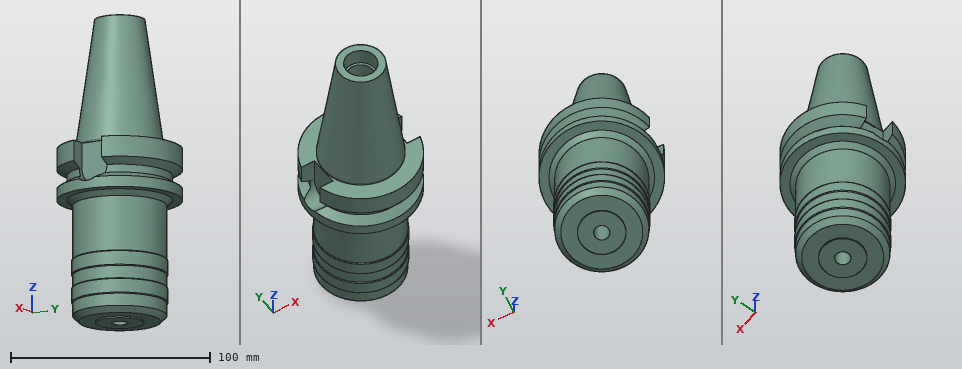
import cadquery as cq

TOTAL_HEIGHT = 155.4

TAPER_RATIO = 7 / 24
GAUGE_RADIUS = 22.2
TAPER_LENGTH = 65.5
GAUGE_Z = TOTAL_HEIGHT - TAPER_LENGTH
TAPER_TOP_RADIUS = GAUGE_RADIUS - TAPER_LENGTH * TAPER_RATIO / 2

FLANGE_DIAMETER = 63.0
FLANGE_RADIUS = FLANGE_DIAMETER / 2
FLANGE_TOP_Z = 89.0
FLANGE_BOTTOM_Z = 63.0
GROOVE_ROOT_RADIUS = 26.4
GROOVE_CENTER_Z = 73.5
GROOVE_ROOT_WIDTH = 4.0
GROOVE_MOUTH_WIDTH = 10.0

BODY_RADIUS = 23.6
NECK_CHAMFER = 2.8
NOSE_CHAMFER_RADIAL = 3.1
NOSE_CHAMFER_HEIGHT = 3.0
NOSE_BOSS_RADIUS = 12.1
NOSE_BOSS_HEIGHT = 0.8

BAND_RADIUS = 24.1
BAND_HEIGHT = 8.0
BAND_BOTTOMS_Z = (10.0, 24.2)
BAND_CHAMFER = BAND_RADIUS - BODY_RADIUS

SLOT_WIDTH = 16.3
SLOT_FLOOR_X = 22.5
SLOT_BOTTOM_Z = 67.1

COUNTERBORE_RADIUS = 8.5
COUNTERBORE_DEPTH = 9.0
THREAD_BORE_RADIUS = 7.1
THREAD_BORE_DEPTH = 31.1
THROUGH_HOLE_RADIUS = 4.0


def make_holder_blank():
    """Revolve the half profile of boss, body, flange and taper."""
    half_root = GROOVE_ROOT_WIDTH / 2
    half_mouth = GROOVE_MOUTH_WIDTH / 2
    profile = [
        (0, 0),
        (NOSE_BOSS_RADIUS, 0),
        (NOSE_BOSS_RADIUS, NOSE_BOSS_HEIGHT),
        (BODY_RADIUS - NOSE_CHAMFER_RADIAL, NOSE_BOSS_HEIGHT),
        (BODY_RADIUS, NOSE_BOSS_HEIGHT + NOSE_CHAMFER_HEIGHT),
        (BODY_RADIUS, FLANGE_BOTTOM_Z - NECK_CHAMFER),
        (BODY_RADIUS + NECK_CHAMFER, FLANGE_BOTTOM_Z),
        (FLANGE_RADIUS, FLANGE_BOTTOM_Z),
        (FLANGE_RADIUS, GROOVE_CENTER_Z - half_mouth),
        (GROOVE_ROOT_RADIUS, GROOVE_CENTER_Z - half_root),
        (GROOVE_ROOT_RADIUS, GROOVE_CENTER_Z + half_root),
        (FLANGE_RADIUS, GROOVE_CENTER_Z + half_mouth),
        (FLANGE_RADIUS, FLANGE_TOP_Z),
        (GAUGE_RADIUS, FLANGE_TOP_Z),
        (GAUGE_RADIUS, GAUGE_Z),
        (TAPER_TOP_RADIUS, TOTAL_HEIGHT),
        (0, TOTAL_HEIGHT),
    ]
    return cq.Workplane("YZ").polyline(profile).close().revolve(360, (0, 0, 0), (0, 1, 0))


def make_band(bottom_z):
    """Raised band whose two chamfers run down to the body surface."""
    band = cq.Workplane("XY").workplane(offset=bottom_z).circle(BAND_RADIUS).extrude(BAND_HEIGHT)
    return band.edges().chamfer(BAND_CHAMFER)


def make_drive_slot(side):
    """Round-bottomed cutter, open at the flange top; side is -1 or +1 along X."""
    half_width = SLOT_WIDTH / 2
    arc_start_z = SLOT_BOTTOM_Z + half_width
    outline = (
        cq.Workplane("YZ")
        .workplane(offset=side * SLOT_FLOOR_X)
        .moveTo(-half_width, FLANGE_TOP_Z)
        .lineTo(-half_width, arc_start_z)
        .threePointArc((0, SLOT_BOTTOM_Z), (half_width, arc_start_z))
        .lineTo(half_width, FLANGE_TOP_Z)
        .close()
    )
    return outline.extrude(side * FLANGE_RADIUS)


def make_bore(radius, depth):
    """Round cutter reaching down from the taper end face."""
    return cq.Workplane("XY").workplane(offset=TOTAL_HEIGHT).circle(radius).extrude(-depth)


result = make_holder_blank()

for band_bottom_z in BAND_BOTTOMS_Z:
    result = result.union(make_band(band_bottom_z))

for slot_side in (-1, 1):
    result = result.cut(make_drive_slot(slot_side))

result = result.cut(make_bore(COUNTERBORE_RADIUS, COUNTERBORE_DEPTH))
result = result.cut(make_bore(THREAD_BORE_RADIUS, THREAD_BORE_DEPTH))
result = result.cut(make_bore(THROUGH_HOLE_RADIUS, TOTAL_HEIGHT))